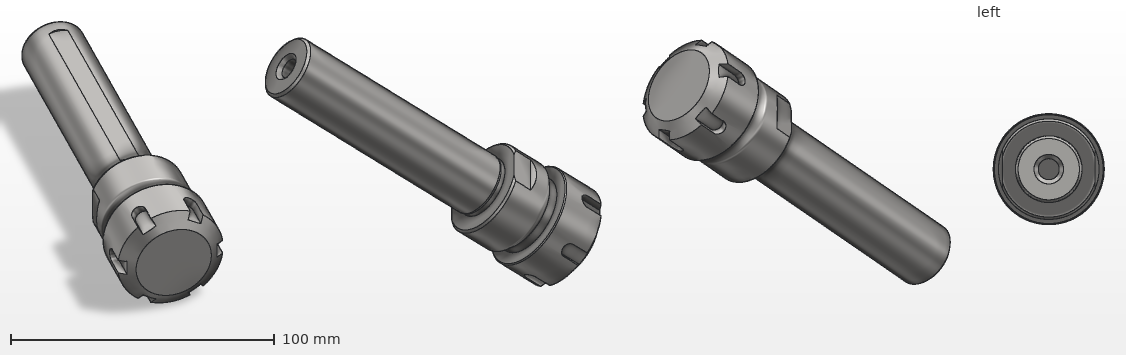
import cadquery as cq
import math

length = 147.3

shank_radius = 25.3 / 2
shank_chamfer = 1.0
shank_end_chamfer = 0.9
shank_end = 99.6
relief_radius = 24.7 / 2
shank_flat_start = 6.2
shank_flat_end = 94.6
shank_flat_width = 7.7
shank_flat_end_bulge = 0.9

hole_radius = 8.0 / 2
hole_mouth_radius = 11.2 / 2
hole_depth = 29.5

collar_start = 101.5
collar_radius = 38.2 / 2
collar_chamfer = 0.9
collar_edge_radius = 1.8
collar_cylinder_end = 117.4
neck_radius = 32.0 / 2
wrench_flat_offset = 34.9 / 2
wrench_flat_end = 110.0

nut_start = 125.0
nut_radius = 42.1 / 2
nut_back_chamfer = 0.5
nut_cone_start = 143.3
nut_face_radius = 15.0
slot_count = 6
slot_start = 133.3
slot_width = 5.9
slot_floor_radius = 18.0


def turned_body():
    """Revolve the outer profile; the collar runs into the neck by a rounded edge and a 45 degree cone."""
    edge_center_radius = collar_radius - collar_edge_radius
    half_turn = math.radians(45 / 2)
    edge_mid = (
        collar_cylinder_end + collar_edge_radius * math.sin(half_turn),
        edge_center_radius + collar_edge_radius * math.cos(half_turn),
    )
    edge_run = collar_edge_radius * math.sin(math.radians(45))
    cone_start = collar_cylinder_end + edge_run
    cone_radius = edge_center_radius + edge_run
    cone_end = cone_start + cone_radius - neck_radius
    profile = (
        cq.Workplane("XY")
        .lineTo(0, shank_radius - shank_chamfer)
        .lineTo(shank_chamfer, shank_radius)
        .lineTo(shank_end - shank_end_chamfer, shank_radius)
        .lineTo(shank_end, relief_radius)
        .lineTo(collar_start, relief_radius)
        .lineTo(collar_start, collar_radius - collar_chamfer)
        .lineTo(collar_start + collar_chamfer, collar_radius)
        .lineTo(collar_cylinder_end, collar_radius)
        .threePointArc(edge_mid, (cone_start, cone_radius))
        .lineTo(cone_end, neck_radius)
        .lineTo(nut_start, neck_radius)
        .lineTo(nut_start, nut_radius - nut_back_chamfer)
        .lineTo(nut_start + nut_back_chamfer, nut_radius)
        .lineTo(nut_cone_start, nut_radius)
        .lineTo(length, nut_face_radius)
        .lineTo(length, 0)
        .close()
    )
    return profile.revolve(360, (0, 0, 0), (1, 0, 0))


def shank_hole():
    """Blind axial hole with a 45 degree countersunk mouth."""
    profile = (
        cq.Workplane("XY")
        .lineTo(0, hole_mouth_radius)
        .lineTo(hole_mouth_radius - hole_radius, hole_radius)
        .lineTo(hole_depth, hole_radius)
        .lineTo(hole_depth, 0)
        .close()
    )
    return profile.revolve(360, (0, 0, 0), (1, 0, 0))


def shank_flat():
    """Long shallow flat on the +Z side of the shank, with slightly bowed upright ends."""
    half_width = shank_flat_width / 2
    floor = math.sqrt(shank_radius**2 - half_width**2)
    left = shank_flat_start + shank_flat_end_bulge
    right = shank_flat_end - shank_flat_end_bulge
    return (
        cq.Workplane("XY", origin=(0, 0, floor))
        .moveTo(left, -half_width)
        .lineTo(right, -half_width)
        .threePointArc((shank_flat_end, 0), (right, half_width))
        .lineTo(left, half_width)
        .threePointArc((shank_flat_start, 0), (left, -half_width))
        .close()
        .extrude(shank_radius - floor)
    )


def wrench_flat():
    """Flat on the -Y side of the collar, running out at 45 degrees."""
    depth = collar_radius - wrench_flat_offset
    return (
        cq.Workplane("XY")
        .moveTo(collar_start, -collar_radius)
        .lineTo(collar_start, -wrench_flat_offset)
        .lineTo(wrench_flat_end, -wrench_flat_offset)
        .lineTo(wrench_flat_end + depth, -collar_radius)
        .close()
        .extrude(collar_radius, both=True)
    )


def nut_slot():
    """Spanner slot on the -Y side of the nut, round at the back and open at the front."""
    round_radius = slot_width / 2
    straight_start = slot_start + round_radius
    return (
        cq.Workplane("XZ", origin=(0, -slot_floor_radius, 0))
        .moveTo(length, round_radius)
        .lineTo(straight_start, round_radius)
        .threePointArc((slot_start, 0), (straight_start, -round_radius))
        .lineTo(length, -round_radius)
        .close()
        .extrude(nut_radius - slot_floor_radius)
    )


result = turned_body().cut(shank_hole()).cut(shank_flat())

for side in (0, 180):
    result = result.cut(wrench_flat().rotate((0, 0, 0), (1, 0, 0), side))

for index in range(slot_count):
    angle = index * 360 / slot_count
    result = result.cut(nut_slot().rotate((0, 0, 0), (1, 0, 0), angle))